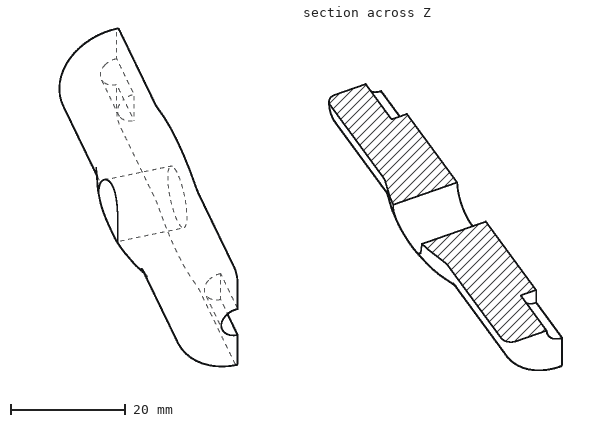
import cadquery as cq
import math

length = 70.0
barrel_radius = 11.0
end_fillet = 2.0

bulge_radius = 13.0
bulge_arc_radius = 36.0
neck_fillet = 5.0

cross_hole_diameter = 11.0
end_bore_diameter = 6.0
end_bore_depth = 10.0

half_length = length / 2

bulge_center_r = bulge_radius - bulge_arc_radius
neck_center_r = barrel_radius + neck_fillet
center_distance = bulge_arc_radius + neck_fillet
neck_end_x = math.sqrt(center_distance**2 - (neck_center_r - bulge_center_r) ** 2)
neck_angle = math.asin(neck_end_x / center_distance)
neck_start = (
    bulge_arc_radius * math.sin(neck_angle),
    bulge_center_r + bulge_arc_radius * math.cos(neck_angle),
)
neck_middle = (
    neck_end_x - neck_fillet * math.sin(neck_angle / 2),
    neck_center_r - neck_fillet * math.cos(neck_angle / 2),
)
end_fillet_middle = (
    half_length - end_fillet + end_fillet * math.sin(math.pi / 4),
    barrel_radius - end_fillet + end_fillet * math.cos(math.pi / 4),
)


def mirrored(point):
    """The matching profile point on the -X half."""
    return (-point[0], point[1])


def make_body():
    """Revolve the profile half a turn about X, leaving the flat face at Y = 0."""
    end_face_rim = (half_length, barrel_radius - end_fillet)
    grip_outer_end = (half_length - end_fillet, barrel_radius)
    grip_inner_end = (neck_end_x, barrel_radius)
    profile = (
        cq.Workplane("XZ")
        .moveTo(-half_length, 0)
        .lineTo(*mirrored(end_face_rim))
        .threePointArc(mirrored(end_fillet_middle), mirrored(grip_outer_end))
        .lineTo(*mirrored(grip_inner_end))
        .threePointArc(mirrored(neck_middle), mirrored(neck_start))
        .threePointArc((0, bulge_radius), neck_start)
        .threePointArc(neck_middle, grip_inner_end)
        .lineTo(*grip_outer_end)
        .threePointArc(end_fillet_middle, end_face_rim)
        .lineTo(half_length, 0)
        .close()
    )
    return profile.revolve(180, (0, 0, 0), (1, 0, 0))


def make_cross_hole():
    """Hole along Y through the middle of the bulge."""
    return cq.Workplane("XZ").circle(cross_hole_diameter / 2).extrude(bulge_radius, both=True)


def make_end_bore(side):
    """Blind bore along X from the end face on the given side (-1 or 1)."""
    end_face = cq.Workplane("YZ").workplane(offset=side * half_length)
    return end_face.circle(end_bore_diameter / 2).extrude(-side * end_bore_depth)


result = make_body().cut(make_cross_hole())
for side in (-1, 1):
    result = result.cut(make_end_bore(side))